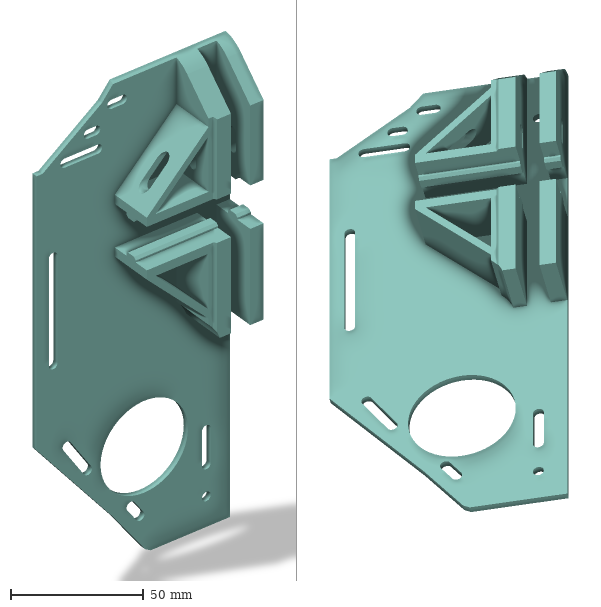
import cadquery as cq
import math

plate_thickness = 2.6
plate_width = 91.8
plate_height = 218.5
plate_outline = [
    (plate_width, 0),
    (plate_width, plate_height),
    (36.7, plate_height),
    (31.0, 211.5),
    (2.8, 190.7),
    (0, 190.7),
    (0, 66.9),
    (36.5, 22.0),
    (51.5, 1.5),
    (54.2, 0),
]

bore_diameter = 41.5
bore_center = (51.1, 48.0)
rail_hole_diameter = 6.5
rail_hole_y = 64.2
screw_diameter = 4.2
screw_y = 80.6
screw_heights = (13.8, 196.6)

plate_slots = [
    ((screw_y, 28.2), (screw_y, 44.0)),
    ((7.9, 102.5), (7.9, 151.0)),
    ((35.6, 209.0), (40.9, 209.0)),
    ((24.5, 200.1), (28.2, 200.1)),
    ((13.3, 191.4), (29.0, 191.4)),
    ((14.5, 63.0), (24.3, 48.0)),
    ((44.8, 23.5), (49.2, 17.5)),
]

rail_height = 153.5
rail_gap = 19.7
bracket_reach = 23.5
brace_reach = 22.5
reach_chamfer = bracket_reach - brace_reach
lip_y = 37.1
wall_front_y = 66.5
wall_step_y = 69.7
lip_height = 4.2
shelf_thickness = lip_height
brace_rise = wall_front_y - lip_y
half_gap = rail_gap / 2
brace_top = half_gap + lip_height + brace_rise

channel_front_y = 76.2
channel_back_y = 85.5

rib_x = 12.7
rib_width = 6.0
rib_height = 2.0
rib_chamfer = 1.0

shoulder_radius = 16.4
shoulder_start_angle = 8.0
shoulder_end_angle = 45.0

adjust_slot_z = 178.5
adjust_slot_length = 13.0
adjust_slot_width = 5.7
slot_margin = 0.76

foot_z = 100.3
foot_arc_top = 107.5
foot_arc_middle = (69.3, 104.0)
foot_arc_end_y = 71.0


def prism(outline, x_start, x_end):
    """Extrude a closed (y, z) outline along X."""
    return cq.Workplane("YZ", origin=(x_start, 0, 0)).polyline(outline).close().extrude(x_end - x_start)


def block(x_range, y_range, z_range):
    """Box between the given limits along each axis."""
    (x0, x1), (y0, y1), (z0, z1) = x_range, y_range, z_range
    return cq.Workplane("XY").box(x1 - x0, y1 - y0, z1 - z0, centered=False).translate((x0, y0, z0))


def plate_slot(start, end):
    """Cutter for one round-ended slot through the plate."""
    run = end[0] - start[0]
    rise = end[1] - start[1]
    length = math.hypot(run, rise) + screw_diameter
    angle = math.degrees(math.atan2(rise, run))
    center = ((start[0] + end[0]) / 2, (start[1] + end[1]) / 2)
    return (
        cq.Workplane("YZ")
        .center(*center)
        .slot2D(length, screw_diameter, angle)
        .extrude(plate_thickness)
    )


def make_plate():
    plate = prism(plate_outline, 0, plate_thickness)
    holes = [(bore_center, bore_diameter), ((rail_hole_y, rail_height), rail_hole_diameter)]
    holes += [((screw_y, z), screw_diameter) for z in screw_heights]
    for center, diameter in holes:
        plate = plate.cut(cq.Workplane("YZ").center(*center).circle(diameter / 2).extrude(plate_thickness))
    for start, end in plate_slots:
        plate = plate.cut(plate_slot(start, end))
    return plate


def make_rib(direction):
    """Chamfered rib on the rail side of a bracket; direction is +1 above the rail, -1 below."""
    base = rail_height + direction * half_gap
    tip = base - direction * rib_height
    shoulder = tip + direction * rib_chamfer
    half_width = rib_width / 2
    profile = [
        (rib_x - half_width, base),
        (rib_x - half_width, shoulder),
        (rib_x - half_width + rib_chamfer, tip),
        (rib_x + half_width - rib_chamfer, tip),
        (rib_x + half_width, shoulder),
        (rib_x + half_width, base),
    ]
    length = plate_width - lip_y
    return cq.Workplane("XZ", origin=(0, plate_width, 0)).polyline(profile).close().extrude(length)


def make_bracket(direction, wall_end):
    """Walls, sloping brace and shelf on one side of the rail, up or down to wall_end."""

    def level(offset):
        return rail_height + direction * offset

    outline = [
        (plate_width, level(half_gap)),
        (plate_width, wall_end),
        (wall_front_y, wall_end),
        (wall_front_y, level(brace_top)),
        (lip_y, level(half_gap + lip_height)),
        (lip_y, level(half_gap)),
    ]
    bracket = prism(outline, 0, bracket_reach)

    step = (
        cq.Workplane("XY")
        .polyline([
            (brace_reach, 0),
            (brace_reach, wall_step_y - reach_chamfer),
            (bracket_reach, wall_step_y),
            (bracket_reach, 0),
        ])
        .close()
        .extrude(plate_height)
    )
    bracket = bracket.cut(step)

    floor = half_gap + shelf_thickness
    cavity = [
        (lip_y + lip_height, level(floor)),
        (wall_front_y, level(floor)),
        (wall_front_y, level(brace_top - lip_height)),
    ]
    bracket = bracket.cut(prism(cavity, plate_thickness, bracket_reach))
    return bracket.union(make_rib(direction))


def adjust_slot(length, width, y_start, y_end):
    """Cutter for an upright slot that runs along Y."""
    return (
        cq.Workplane("XZ", origin=(rib_x, y_end, adjust_slot_z))
        .slot2D(length, width, 90)
        .extrude(y_end - y_start)
    )


def make_upper_bracket():
    bracket = make_bracket(1, plate_height)
    wide_slot = adjust_slot(adjust_slot_length, adjust_slot_width, 0, wall_front_y)
    narrow_slot = adjust_slot(
        adjust_slot_length - 2 * slot_margin,
        adjust_slot_width - 2 * slot_margin,
        wall_front_y,
        plate_width,
    )
    return bracket.cut(wide_slot).cut(narrow_slot)


def make_lower_bracket():
    foot_cut = (
        cq.Workplane("YZ")
        .moveTo(wall_front_y, foot_arc_top)
        .threePointArc(foot_arc_middle, (foot_arc_end_y, foot_z))
        .lineTo(wall_front_y, foot_z)
        .close()
        .extrude(bracket_reach)
    )
    return make_bracket(-1, foot_z).cut(foot_cut)


def shoulder_point(angle):
    """Point (x, z) of the shoulder arc where its tangent dips by the given angle."""
    start = math.radians(shoulder_start_angle)
    dip = math.radians(angle)
    x = shoulder_radius * (math.sin(dip) - math.sin(start))
    z = plate_height - shoulder_radius * (math.cos(start) - math.cos(dip))
    return (x, z)


def make_shoulder_profile():
    """Body that bounds the part in XZ: a rounded top edge running into a straight slope."""
    middle = shoulder_point((shoulder_start_angle + shoulder_end_angle) / 2)
    end = shoulder_point(shoulder_end_angle)
    slope_drop = (bracket_reach - end[0]) * math.tan(math.radians(shoulder_end_angle))
    return (
        cq.Workplane("XZ", origin=(0, plate_width, 0))
        .moveTo(0, 0)
        .lineTo(0, plate_height)
        .threePointArc(middle, end)
        .lineTo(bracket_reach, end[1] - slope_drop)
        .lineTo(bracket_reach, 0)
        .close()
        .extrude(plate_width)
    )


channel = block(
    (plate_thickness, bracket_reach),
    (channel_front_y, channel_back_y),
    (0, plate_height),
)
bracket_space = block((plate_thickness, bracket_reach), (0, plate_width), (0, plate_height))
brackets = make_upper_bracket().union(make_lower_bracket()).intersect(bracket_space).cut(channel)

result = make_plate().union(brackets).intersect(make_shoulder_profile())